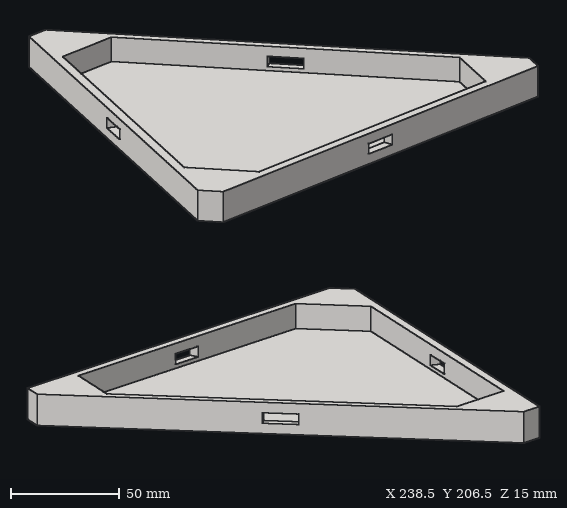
import cadquery as cq
import math

overall_width = 238.5
corner_cut = 12.0
height = 15.0

wall = 5.0
floor = 3.0
pocket_corner_cut = 35.0

window_length = 17.0
window_height = 5.0
window_bottom = 5.0

triangle_side = overall_width + corner_cut
wall_distance = triangle_side / (2 * math.sqrt(3))
pocket_side = triangle_side - 2 * math.sqrt(3) * wall
wall_angles = (0, 120, 240)


def truncated_triangle(side, cut, depth):
    """Prism on an equilateral triangle centred on the origin, with its corners cut off."""
    base_y = -side / (2 * math.sqrt(3))
    half_base = side / 2 - cut
    points = []
    for angle in wall_angles:
        c = math.cos(math.radians(angle))
        s = math.sin(math.radians(angle))
        for x in (-half_base, half_base):
            points.append((x * c - base_y * s, x * s + base_y * c))
    return cq.Workplane("XY").polyline(points).close().extrude(depth)


def wall_window(angle):
    """Rectangular opening through one wall, turned about the triangle centre."""
    opening = cq.Workplane("XY").box(window_length, wall, window_height, centered=(True, False, False))
    opening = opening.translate((0, -wall_distance, window_bottom))
    return opening.rotate((0, 0, 0), (0, 0, 1), angle)


tray = truncated_triangle(triangle_side, corner_cut, height)
pocket = truncated_triangle(pocket_side, pocket_corner_cut, height - floor)
result = tray.cut(pocket.translate((0, 0, floor)))
for angle in wall_angles:
    result = result.cut(wall_window(angle))